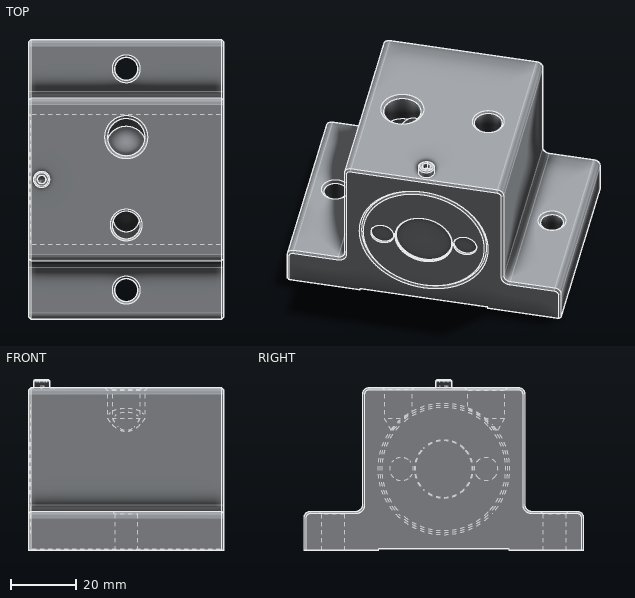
import cadquery as cq
import math

length = 60.0
base_width = 86.0
base_height = 12.0
block_width = 50.0
block_height = 50.0
profile_radius = 2.0
end_chamfer = 0.7

relief_width = 40.0
relief_depth = 0.5

mount_spacing = 68.0
mount_diameter = 7.0
mount_chamfer = 0.8

axis_height = block_height / 2
cover_groove_outer = 40.5
cover_groove_inner = 38.0
cover_recess_outer = 18.0
cover_recess_inner = 17.5
cover_recess_depth = 0.75
pin_hole_diameter = 7.2
pin_hole_spacing = 26.0
pin_hole_depth = 0.75

core_diameter = 40.0
outlet_y = 13.0
outlet_diameter = 11.45
outlet_chamfer = 0.9
inlet_y = -14.0
inlet_diameter = 8.57
inlet_chamfer = 0.6
port_cylinder_depth = 9.4
port_cone_angle = 60.0

screw_x = -26.0
screw_diameter = 5.0
screw_tip_diameter = 4.13
screw_height = 2.5
socket_across_flats = 2.5
socket_depth = 2.0
socket_floor_angle = 120.0


def make_housing():
    """T profile with rounded corners; the end faces are chamfered except along the base."""
    step = (base_width - block_width) / 2
    body = (
        cq.Workplane("YZ")
        .moveTo(-base_width / 2, 0)
        .hLine(base_width)
        .vLine(base_height)
        .hLine(-step)
        .vLine(block_height - base_height)
        .hLine(-block_width)
        .vLine(base_height - block_height)
        .hLine(-step)
        .close()
        .extrude(length / 2, both=True)
    )
    body = body.edges("|X and (not <Z)").fillet(profile_radius)
    return body.faces("<X or >X").edges("not <Z").chamfer(end_chamfer)


def make_underside_relief():
    return cq.Workplane("XY").box(length, relief_width, relief_depth, centered=(True, True, False))


def make_chamfered_drill(diameter, chamfer, top, depth):
    """Downward drill of the given depth with a 45 degree chamfer at its top."""
    radius = diameter / 2
    return (
        cq.Workplane("XZ")
        .moveTo(0, top)
        .hLine(radius + chamfer)
        .line(-chamfer, -chamfer)
        .vLine(chamfer - depth)
        .hLine(-radius)
        .close()
        .revolve(360, (0, 0, 0), (0, 1, 0))
    )


def make_port(diameter, chamfer, y):
    """Air port with a conical end, minus the round core that closes it off."""
    cone_height = diameter / 2 / math.tan(math.radians(port_cone_angle / 2))
    cone = cq.Solid.makeCone(
        diameter / 2,
        0,
        cone_height,
        pnt=cq.Vector(0, 0, block_height - port_cylinder_depth),
        dir=cq.Vector(0, 0, -1),
    )
    drill = make_chamfered_drill(diameter, chamfer, block_height, port_cylinder_depth)
    core = cq.Workplane("YZ").center(0, axis_height).circle(core_diameter / 2).extrude(length / 2, both=True)
    return drill.union(cone).translate((0, y, 0)).cut(core)


def make_cover_cut():
    """V groove around the -X cover, its bevelled centre recess and its two pin holes."""
    face_x = -length / 2
    groove_width = (cover_groove_outer - cover_groove_inner) / 2
    bevel = (cover_recess_outer - cover_recess_inner) / 2
    groove = (
        cq.Workplane("XY")
        .moveTo(face_x, cover_groove_inner / 2)
        .line(groove_width / 2, groove_width / 2)
        .line(-groove_width / 2, groove_width / 2)
        .close()
        .revolve(360, (0, 0, 0), (1, 0, 0))
    )
    recess = (
        cq.Workplane("XY")
        .moveTo(face_x, 0)
        .vLine(cover_recess_outer / 2)
        .line(bevel, -bevel)
        .hLine(cover_recess_depth - bevel)
        .vLine(-cover_recess_inner / 2)
        .close()
        .revolve(360, (0, 0, 0), (1, 0, 0))
    )
    pin_holes = (
        cq.Workplane("YZ", origin=(face_x, 0, 0))
        .pushPoints([(-pin_hole_spacing / 2, 0), (pin_hole_spacing / 2, 0)])
        .circle(pin_hole_diameter / 2)
        .extrude(pin_hole_depth)
    )
    return groove.union(recess).union(pin_holes).translate((0, 0, axis_height))


def make_screw():
    """Set screw end with a chamfered rim."""
    return (
        cq.Workplane("XY", origin=(screw_x, 0, block_height))
        .circle(screw_diameter / 2)
        .extrude(screw_height)
        .faces(">Z")
        .chamfer((screw_diameter - screw_tip_diameter) / 2)
    )


def make_screw_socket():
    """Hexagon socket with a conical floor."""
    corner_diameter = socket_across_flats / math.cos(math.pi / 6)
    hexagon = (
        cq.Workplane("XY", origin=(screw_x, 0, block_height + screw_height))
        .polygon(6, corner_diameter)
        .extrude(-socket_depth)
    )
    floor_radius = socket_across_flats / 2
    floor_depth = floor_radius / math.tan(math.radians(socket_floor_angle / 2))
    floor = cq.Solid.makeCone(
        floor_radius,
        0,
        floor_depth,
        pnt=cq.Vector(screw_x, 0, block_height + screw_height - socket_depth),
        dir=cq.Vector(0, 0, -1),
    )
    return hexagon.union(floor)


result = make_housing().cut(make_underside_relief())

mount_hole = make_chamfered_drill(mount_diameter, mount_chamfer, base_height, base_height)
for side in (-1, 1):
    result = result.cut(mount_hole.translate((0, side * mount_spacing / 2, 0)))

result = result.cut(make_port(outlet_diameter, outlet_chamfer, outlet_y))
result = result.cut(make_port(inlet_diameter, inlet_chamfer, inlet_y))

result = result.cut(make_cover_cut())

result = result.union(make_screw()).cut(make_screw_socket())